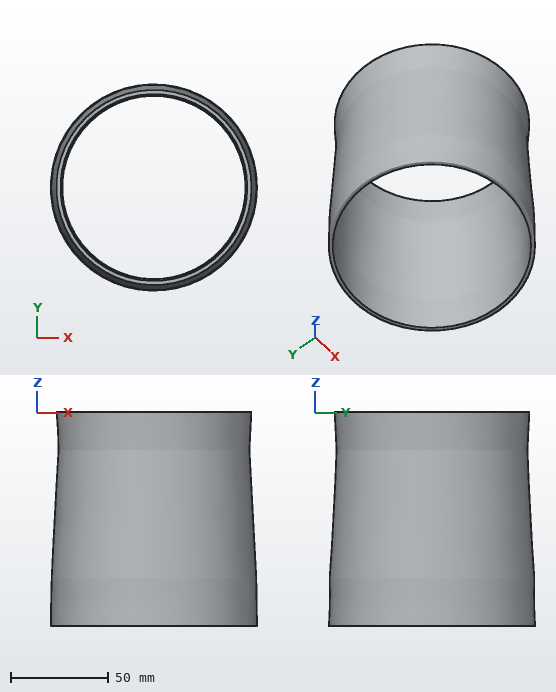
import cadquery as cq

height = 110.0
base_diameter = 105.9
wall = 2.1
edge_round = 0.3

skirt_height = 24.8
collar_height = 19.7
neck_level = height - collar_height

base_radius = base_diameter / 2
skirt_top_radius = 52.6
neck_radius = 49.1
rim_radius = 50.0

stations = [
    (base_radius, 0),
    (skirt_top_radius, skirt_height),
    (neck_radius, neck_level),
    (rim_radius, height),
]


def make_sleeve():
    """Open sleeve with a tapered skirt, a tapered body and a flared collar."""
    inner_side = [(radius - wall, level) for radius, level in reversed(stations)]
    profile = cq.Workplane("XZ").polyline(stations + inner_side).close()
    return profile.revolve(360, (0, 0, 0), (0, 1, 0))


def round_outer_edge(body, end_face):
    """Round the larger of the two circular edges on an end ring."""
    outer_edge = cq.selectors.RadiusNthSelector(-1)
    return body.faces(end_face).edges(outer_edge).fillet(edge_round)


result = make_sleeve()
for end_face in ("<Z", ">Z"):
    result = round_outer_edge(result, end_face)